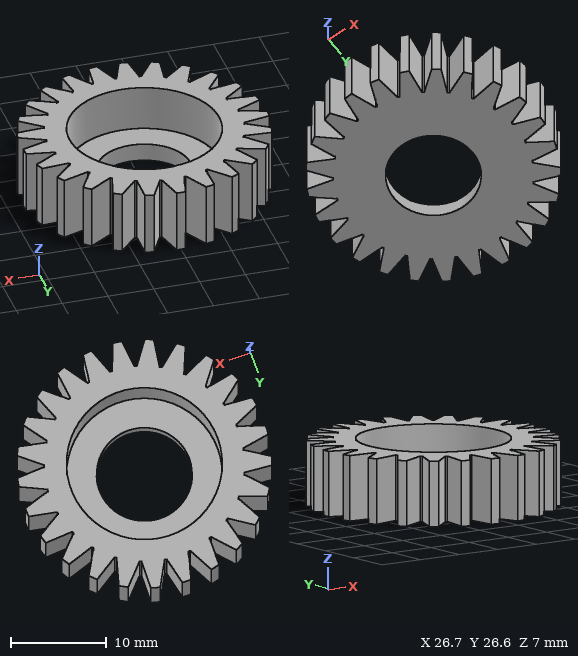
import cadquery as cq
import math

tooth_count = 25
tip_radius = 13.35
root_radius = 10.5
thickness = 7.0

tip_width = 1.0
root_width = 0.21

bore_diameter = 10.0
counterbore_diameter = 16.3
counterbore_depth = 5.0

pitch_angle = 2 * math.pi / tooth_count


def spoke_point(along, across, angle):
    """Point along a spoke, set off to its right; the angle runs clockwise from +Y."""
    return (
        along * math.sin(angle) + across * math.cos(angle),
        along * math.cos(angle) - across * math.sin(angle),
    )


def make_toothed_blank():
    """Gear without its bore: one tooth points along +Y, and the base lies on Z = 0."""
    half_tip = tip_width / 2
    half_root = root_width / 2
    tip_corner_distance = math.sqrt(tip_radius**2 - half_tip**2)

    outline = cq.Workplane("XY").moveTo(*spoke_point(root_radius, half_root, -pitch_angle / 2))
    for tooth in range(tooth_count):
        tooth_angle = tooth * pitch_angle
        gap_angle = tooth_angle + pitch_angle / 2
        outline = (
            outline.lineTo(*spoke_point(tip_corner_distance, -half_tip, tooth_angle))
            .threePointArc(
                spoke_point(tip_radius, 0, tooth_angle),
                spoke_point(tip_corner_distance, half_tip, tooth_angle),
            )
            .lineTo(*spoke_point(root_radius, -half_root, gap_angle))
        )
        if tooth < tooth_count - 1:
            outline = outline.lineTo(*spoke_point(root_radius, half_root, gap_angle))
    return outline.close().extrude(thickness)


def cut_stepped_bore(blank):
    """Through bore with a wide, flat-bottomed counterbore in the top face."""
    return (
        blank.faces(">Z")
        .workplane(origin=(0, 0, thickness))
        .cboreHole(bore_diameter, counterbore_diameter, counterbore_depth)
    )


result = cut_stepped_bore(make_toothed_blank())